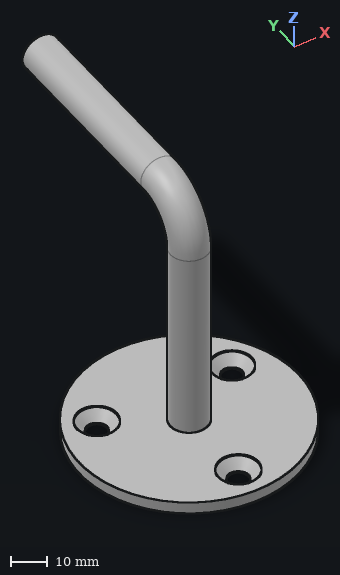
import cadquery as cq
import math

plate_diameter = 70.0
plate_thickness = 4.0

screw_hole_count = 3
screw_circle_radius = 25.0
screw_hole_diameter = 6.5
countersink_diameter = 12.5
countersink_angle = 90
countersink_rim_depth = 0.4
first_hole_angle = -90

arm_diameter = 12.0
overall_length = 110
overall_height = 86.0
bend_radius = 15.0

arm_axis_height = overall_height - arm_diameter / 2
arm_end_y = overall_length - plate_diameter / 2
bend_start_height = arm_axis_height - bend_radius


def make_screw_hole_cutter():
    """Cutter with its top at Z = 0: straight rim, countersink cone, through hole."""
    rim_radius = countersink_diameter / 2
    hole_radius = screw_hole_diameter / 2
    cone_depth = (rim_radius - hole_radius) / math.tan(math.radians(countersink_angle / 2))
    return (
        cq.Workplane("XZ")
        .moveTo(0, 0)
        .lineTo(rim_radius, 0)
        .lineTo(rim_radius, -countersink_rim_depth)
        .lineTo(hole_radius, -countersink_rim_depth - cone_depth)
        .lineTo(hole_radius, -plate_thickness)
        .lineTo(0, -plate_thickness)
        .close()
        .revolve(360, (0, 0), (0, 1))
        .val()
    )


def make_plate():
    """Round plate with a ring of countersunk screw holes."""
    cutter = make_screw_hole_cutter()
    blank = cq.Workplane("XY").circle(plate_diameter / 2).extrude(plate_thickness)
    return (
        blank.faces(">Z")
        .workplane()
        .polarArray(screw_circle_radius, first_hole_angle, 360, screw_hole_count)
        .cutEach(lambda place: cutter.moved(place))
    )


def make_arm():
    """Round bar that rises from the plate and bends toward +Y."""
    bend_middle_offset = bend_radius * math.cos(math.radians(45))
    path = (
        cq.Workplane("YZ")
        .moveTo(0, plate_thickness)
        .lineTo(0, bend_start_height)
        .threePointArc(
            (bend_radius - bend_middle_offset, bend_start_height + bend_middle_offset),
            (bend_radius, arm_axis_height),
        )
        .lineTo(arm_end_y, arm_axis_height)
    )
    return (
        cq.Workplane("XY", origin=(0, 0, plate_thickness))
        .circle(arm_diameter / 2)
        .sweep(path)
    )


plate = make_plate()
arm = make_arm()
result = cq.Compound.makeCompound([plate.val(), arm.val()])